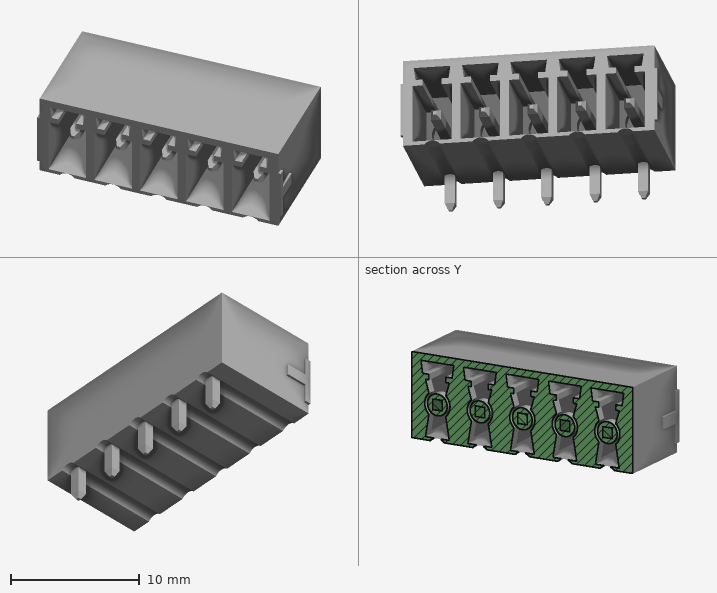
import cadquery as cq
import math


overall_width = 20.25
side_rail_thickness = 0.2
housing_width = overall_width - 2 * side_rail_thickness
housing_depth = 9.2
housing_height = 7.0

contact_count = 5
contact_row_span = 15.25
contact_pitch = contact_row_span / (contact_count - 1)
contact_centers = [(i - (contact_count - 1) / 2) * contact_pitch for i in range(contact_count)]
contact_height = 3.0

chamber_width = 3.12
chamber_floor = 0.3
chamber_ceiling = 4.9
chamber_depth = 6.07
recess_depth = 0.8
cavity_depth = chamber_depth + recess_depth
key_neck_width = 1.5
key_bottom_width = 2.61
key_top_width = 2.9
key_bottom = 5.38
key_top = 6.38

recess_end_width = 2.08
recess_waist_width = 1.45
recess_bulge_radius = 1.11
boss_diameter = 1.8

groove_width = 1.25
groove_height = 0.28

rail_height = 4.25
rail_bar_depth = 0.5
rail_stem_height = 1.0
rail_stem_depth = 2.37

pin_size = 0.8
pin_leg_length = 2.61
pin_leg_center = 8.05
pin_front = 1.17
pin_tip_length = 0.5
pin_tip_size = 0.28


def extrude_back(profile, start, depth):
    """Extrude an XZ profile toward +Y, beginning at Y = start."""
    return profile.extrude(-depth).translate((0, start, 0))


def chamber():
    """Rectangular chamber, open at the mating face."""
    chamber_height = chamber_ceiling - chamber_floor
    return (
        cq.Workplane("XY")
        .box(chamber_width, chamber_depth, chamber_height, centered=(True, False, False))
        .translate((0, 0, chamber_floor))
    )


def key_slot():
    """Neck and dovetail above the chamber, as deep as the recess behind it."""
    right_side = [
        (key_neck_width / 2, chamber_ceiling),
        (key_neck_width / 2, key_bottom),
        (key_bottom_width / 2, key_bottom),
        (key_top_width / 2, key_top),
    ]
    left_side = [(-x, z) for x, z in reversed(right_side)]
    profile = cq.Workplane("XZ").polyline(right_side + left_side).close()
    return extrude_back(profile, 0, cavity_depth)


def hourglass_recess():
    """Hourglass pocket bulging around the contact, less the boss that stands in it."""
    waist = recess_waist_width / 2
    end = recess_end_width / 2
    waist_rise = math.sqrt(recess_bulge_radius**2 - waist**2)
    upper_waist = contact_height + waist_rise
    lower_waist = contact_height - waist_rise
    profile = (
        cq.Workplane("XZ")
        .moveTo(-end, chamber_floor)
        .lineTo(end, chamber_floor)
        .lineTo(waist, lower_waist)
        .threePointArc((recess_bulge_radius, contact_height), (waist, upper_waist))
        .lineTo(end, chamber_ceiling)
        .lineTo(-end, chamber_ceiling)
        .lineTo(-waist, upper_waist)
        .threePointArc((-recess_bulge_radius, contact_height), (-waist, lower_waist))
        .close()
    )
    boss = cq.Workplane("XZ").center(0, contact_height).circle(boss_diameter / 2)
    pocket = extrude_back(profile, chamber_depth, recess_depth)
    return pocket.cut(extrude_back(boss, chamber_depth, recess_depth))


def bottom_groove():
    """Arched groove running the full depth of the bottom face."""
    profile = (
        cq.Workplane("XZ")
        .moveTo(-groove_width / 2, 0)
        .threePointArc((0, groove_height), (groove_width / 2, 0))
        .close()
    )
    return extrude_back(profile, 0, housing_depth)


def side_rails():
    """T-shaped rails, the bar flush with the mating face and the stem pointing back."""
    bar = cq.Workplane("XY").box(overall_width, rail_bar_depth, rail_height, centered=(True, False, True))
    stem = cq.Workplane("XY").box(
        overall_width, rail_stem_depth, rail_stem_height, centered=(True, False, True)
    )
    return bar.union(stem).translate((0, 0, contact_height))


def tapered_bar(length):
    """Square bar along +Z from the origin, its last stretch tapering to a blunt tip."""
    shank = cq.Workplane("XY").rect(pin_size, pin_size).extrude(length - pin_tip_length)
    tip = (
        shank.faces(">Z")
        .workplane()
        .rect(pin_size, pin_size)
        .workplane(offset=pin_tip_length)
        .rect(pin_tip_size, pin_tip_size)
        .loft(combine=False)
    )
    return shank.union(tip)


def bent_pin():
    """Pin with a horizontal contact and a vertical leg meeting in a square corner."""
    contact_length = pin_leg_center + pin_size / 2 - pin_front
    leg_length = contact_height + pin_size / 2 + pin_leg_length
    contact = (
        tapered_bar(contact_length)
        .rotate((0, 0, 0), (1, 0, 0), 90)
        .translate((0, pin_front + contact_length, contact_height))
    )
    leg = (
        tapered_bar(leg_length)
        .rotate((0, 0, 0), (1, 0, 0), 180)
        .translate((0, pin_leg_center, leg_length - pin_leg_length))
    )
    return contact.union(leg)


def build_housing(pins):
    """Housing with one cavity and one bottom groove per contact, and a fitted passage for each pin."""
    block = cq.Workplane("XY").box(housing_width, housing_depth, housing_height, centered=(True, False, False))
    housing = block.union(side_rails())
    cavity = chamber().union(key_slot()).union(hourglass_recess())
    groove = bottom_groove()
    for x, pin in zip(contact_centers, pins):
        housing = housing.cut(cavity.translate((x, 0, 0)))
        housing = housing.cut(groove.translate((x, 0, 0)))
        housing = housing.cut(pin)
    return housing


pins = [bent_pin().translate((x, 0, 0)) for x in contact_centers]
housing = build_housing(pins)

result = cq.Compound.makeCompound([housing.val(), *[pin.val() for pin in pins]])